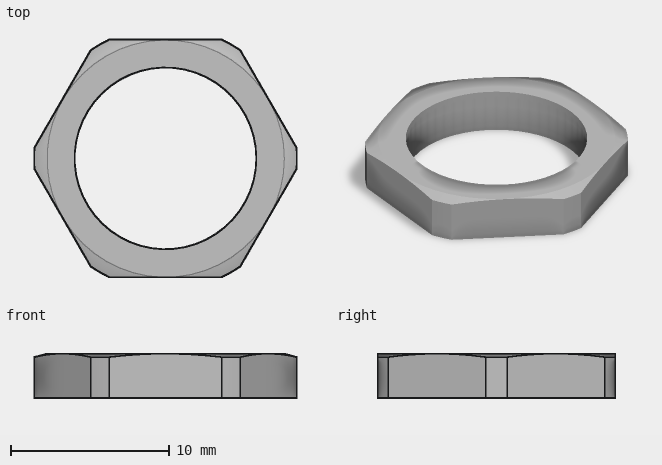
import cadquery as cq
import math

corner_diameter = 16.6
across_flats = 15.0
height = 2.8
bore_diameter = 11.45
top_face_diameter = 14.97
chamfer_angle = 15.0


def hex_body():
    """Hexagonal prism with flats facing +Y and -Y."""
    sharp_corner_diameter = across_flats / math.cos(math.pi / 6)
    return cq.Workplane("XY").polygon(6, sharp_corner_diameter).extrude(height)


def turned_envelope():
    """Cylinder that rounds the hexagon corners, coned towards the top face."""
    corner_radius = corner_diameter / 2
    top_radius = top_face_diameter / 2
    chamfer_drop = (corner_radius - top_radius) * math.tan(math.radians(chamfer_angle))
    profile = (
        cq.Workplane("XZ")
        .lineTo(corner_radius, 0)
        .lineTo(corner_radius, height - chamfer_drop)
        .lineTo(top_radius, height)
        .lineTo(0, height)
        .close()
    )
    return profile.revolve(360, (0, 0, 0), (0, 1, 0))


def bore():
    """Plain through hole."""
    return cq.Workplane("XY").circle(bore_diameter / 2).extrude(height)


result = hex_body().intersect(turned_envelope()).cut(bore())